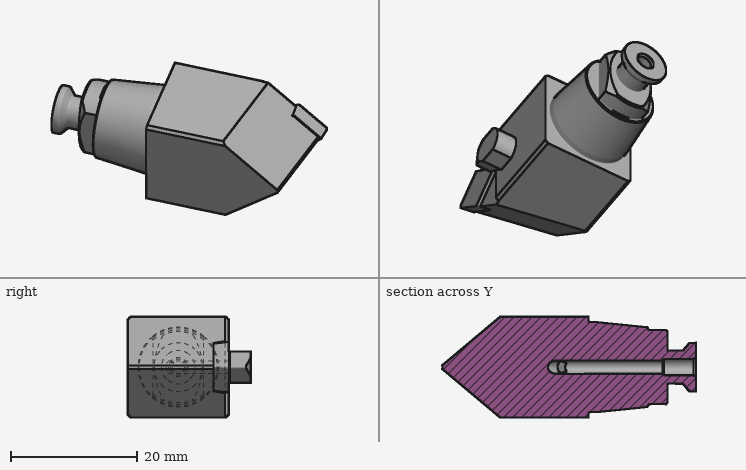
import cadquery as cq
import math


CONE_START = 1.05
CONE_END = 2.1
COLLAR_START = 4.5
TAPER_START = 7.55
TAPER_END = 15.95
BAR_START = 16.95
CLAMP_AXIS_X = 28.4
LEDGE_START = 31.55
INSERT_TIP = 42.0

KNOB_RADIUS = 3.85
NECK_RADIUS = 2.65
COLLAR_RADIUS = 5.9
TAPER_SMALL_RADIUS = 6.35
TAPER_LARGE_RADIUS = 7.2
KNOB_FILLET = 0.35
ROOT_FILLET = 0.15
COLLAR_ROOT_FILLET = 0.25
COLLAR_CHAMFER = 0.25
TAPER_CHAMFER = 0.15
FLAT_DISTANCE = 4.0
FLAT_CONE_RADIUS = 9.85
FLAT_CONE_OFFSET = 6.1

BORE_RADIUS = 1.0
THREAD_RADIUS = 1.25
THREAD_DEPTH = 5.05
BORE_MOUTH_RADIUS = 1.5
BORE_CHAMFER = 0.4
CHANNEL_SLANT_DEGREES = 38.0
CHANNEL_OVERRUN = 1.7

BAR_WIDTH = 16.0
HALF_WIDTH = BAR_WIDTH / 2
BAR_CHAMFER = 0.5
NOSE_TIP_BOTTOM = 38.65
NOSE_FLAT_HALF = 0.3
NOSE_HALF_ANGLE = math.radians(40)
CLEARANCE_DEGREES = 7.0
LEDGE_DEPTH = 0.6

INSCRIBED_CIRCLE = 6.35
INSERT_CORNER_RADIUS = 0.4
INSERT_THICKNESS = 2.4
POCKET_CLEARANCE = 0.2

CLAMP_HEIGHT = 3.5
CLAMP_BACK_RADIUS = 2.85
CLAMP_HALF_WIDTH = 2.48
CLAMP_NOSE_START = 29.9
CLAMP_TIP = 33.0
CLAMP_TIP_RADIUS = 0.35
CLAMP_RELIEF = 0.15
CLAMP_FOOT_START = 32.7
BEVEL_TOP_RADIUS = 3.1
BEVEL_DEGREES = 28.0

PICK_MARGIN = 0.005


def turned(points):
    """Solid of revolution about the X axis from (x, radius) points."""
    return cq.Workplane("XZ").polyline(points).close().revolve(360, (0, 0, 0), (1, 0, 0))


def ring_edge(x, radius):
    """Selector for the edges at the given x that lie wholly within the given radius."""
    reach = radius + PICK_MARGIN
    low = (x - PICK_MARGIN, -reach, -reach)
    high = (x + PICK_MARGIN, reach, reach)
    return cq.selectors.BoxSelector(low, high, boundingbox=True)


def knob_and_neck():
    body = turned([
        (0, 0),
        (0, KNOB_RADIUS),
        (CONE_START, KNOB_RADIUS),
        (CONE_END, NECK_RADIUS),
        (COLLAR_START, NECK_RADIUS),
        (COLLAR_START, 0),
    ])
    body = body.edges(ring_edge(CONE_START, KNOB_RADIUS)).fillet(KNOB_FILLET)
    return body.edges(ring_edge(CONE_END, NECK_RADIUS)).fillet(KNOB_FILLET)


def flat_bevel_cone(side):
    """45 degree cone, offset from the shank axis, that bevels the collar end beside one flat."""
    length = TAPER_START - COLLAR_START
    return (
        cq.Workplane("YZ", origin=(COLLAR_START, -side * FLAT_CONE_OFFSET, 0))
        .circle(FLAT_CONE_RADIUS)
        .extrude(length, taper=-45)
    )


def collar():
    length = TAPER_START - COLLAR_START
    body = cq.Workplane("YZ", origin=(COLLAR_START, 0, 0)).circle(COLLAR_RADIUS).extrude(length)
    body = body.faces("<X").chamfer(COLLAR_CHAMFER)
    flats = cq.Workplane("YZ", origin=(COLLAR_START, 0, 0)).rect(2 * FLAT_DISTANCE, BAR_WIDTH).extrude(length)
    body = body.intersect(flats)
    for side in (-1, 1):
        body = body.intersect(flat_bevel_cone(side))
    return body


def taper():
    end_radius = TAPER_SMALL_RADIUS - TAPER_CHAMFER
    return turned([
        (TAPER_START, 0),
        (TAPER_START, end_radius),
        (TAPER_START + TAPER_CHAMFER, TAPER_SMALL_RADIUS),
        (TAPER_END, TAPER_LARGE_RADIUS),
        (BAR_START, TAPER_LARGE_RADIUS),
        (BAR_START, 0),
    ])


def pointed_bar():
    """Square bar cut to a point whose flanks lean back toward -Y."""
    length = INSERT_TIP - BAR_START
    bar = cq.Workplane("YZ", origin=(BAR_START, 0, 0)).rect(BAR_WIDTH, BAR_WIDTH).extrude(length)
    bar = bar.edges("|X").chamfer(BAR_CHAMFER)

    lean = BAR_WIDTH * math.tan(math.radians(CLEARANCE_DEGREES)) / math.sin(NOSE_HALF_ANGLE)
    shoulder = NOSE_TIP_BOTTOM - (HALF_WIDTH - NOSE_FLAT_HALF) / math.tan(NOSE_HALF_ANGLE)
    back = BAR_START - lean

    def outline(shift):
        return [
            (back + shift, -HALF_WIDTH),
            (shoulder + shift, -HALF_WIDTH),
            (NOSE_TIP_BOTTOM + shift, -NOSE_FLAT_HALF),
            (NOSE_TIP_BOTTOM + shift, NOSE_FLAT_HALF),
            (shoulder + shift, HALF_WIDTH),
            (back + shift, HALF_WIDTH),
        ]

    wedge = (
        cq.Workplane("XZ", origin=(0, HALF_WIDTH, 0))
        .polyline(outline(lean)).close()
        .workplane(offset=BAR_WIDTH)
        .polyline(outline(0)).close()
        .loft(ruled=True)
    )
    return bar.intersect(wedge)


def rhombic_plate(inscribed_circle, corner_radius):
    """80 degree rhombic plate, flush with the +Y side of the bar, whose flanks narrow toward -Y."""
    half_long = inscribed_circle / 2 / math.sin(NOSE_HALF_ANGLE)
    half_short = inscribed_circle / 2 / math.cos(NOSE_HALF_ANGLE)
    rhombus = cq.Sketch().polygon(
        [(half_long, 0), (0, half_short), (-half_long, 0), (0, -half_short), (half_long, 0)]
    )
    if corner_radius > 0:
        rhombus = rhombus.vertices().fillet(corner_radius)
    tip_loss = INSERT_CORNER_RADIUS * (1 / math.sin(NOSE_HALF_ANGLE) - 1)
    insert_half_long = INSCRIBED_CIRCLE / 2 / math.sin(NOSE_HALF_ANGLE)
    center = INSERT_TIP + tip_loss - insert_half_long
    return (
        cq.Workplane("XZ", origin=(center, HALF_WIDTH, 0))
        .placeSketch(rhombus)
        .extrude(INSERT_THICKNESS, taper=CLEARANCE_DEGREES)
    )


def make_insert():
    return rhombic_plate(INSCRIBED_CIRCLE, INSERT_CORNER_RADIUS)


def insert_pocket():
    return rhombic_plate(INSCRIBED_CIRCLE + 2 * POCKET_CLEARANCE, 0)


def coolant_passage():
    """Bore along the shank axis and a slanted channel from its end to the middle of the clamp."""
    slant = math.radians(CHANNEL_SLANT_DEGREES)
    bend_x = CLAMP_AXIS_X - HALF_WIDTH * math.tan(slant)
    bore = turned([
        (0, 0),
        (0, BORE_MOUTH_RADIUS),
        (BORE_CHAMFER, THREAD_RADIUS),
        (THREAD_DEPTH, THREAD_RADIUS),
        (THREAD_DEPTH + THREAD_RADIUS - BORE_RADIUS, BORE_RADIUS),
        (bend_x, BORE_RADIUS),
        (bend_x, 0),
    ])
    direction = cq.Vector(math.sin(slant), math.cos(slant), 0)
    across = cq.Vector(math.cos(slant), -math.sin(slant), 0)
    start = cq.Vector(bend_x, 0, 0) - direction * CHANNEL_OVERRUN
    length = HALF_WIDTH / math.cos(slant) + 2 * CHANNEL_OVERRUN
    channel = cq.Workplane(cq.Plane(start, xDir=across, normal=direction)).circle(BORE_RADIUS).extrude(length)
    return bore.union(channel)


def make_head():
    shank = knob_and_neck().union(collar()).union(taper())
    head = shank.union(pointed_bar())

    head = head.edges(ring_edge(COLLAR_START, NECK_RADIUS)).fillet(ROOT_FILLET)
    head = head.edges(ring_edge(TAPER_START, COLLAR_RADIUS)).fillet(COLLAR_ROOT_FILLET)
    head = head.edges(ring_edge(BAR_START, TAPER_LARGE_RADIUS)).fillet(ROOT_FILLET)

    ledge = cq.Workplane("XY").box(BAR_WIDTH, LEDGE_DEPTH, BAR_WIDTH, centered=(False, False, True))
    head = head.cut(ledge.translate((LEDGE_START, HALF_WIDTH - LEDGE_DEPTH, 0))).cut(insert_pocket())

    return head.cut(coolant_passage())


def make_clamp():
    back_reach = math.sqrt(CLAMP_BACK_RADIUS**2 - CLAMP_HALF_WIDTH**2)
    back_x = CLAMP_AXIS_X - back_reach
    sharp_tip = CLAMP_TIP + CLAMP_TIP_RADIUS * (1 / math.sin(NOSE_HALF_ANGLE) - 1)
    clamp = (
        cq.Workplane("XZ", origin=(0, HALF_WIDTH, 0))
        .moveTo(back_x, -CLAMP_HALF_WIDTH)
        .lineTo(CLAMP_NOSE_START, -CLAMP_HALF_WIDTH)
        .lineTo(sharp_tip, 0)
        .lineTo(CLAMP_NOSE_START, CLAMP_HALF_WIDTH)
        .lineTo(back_x, CLAMP_HALF_WIDTH)
        .threePointArc((CLAMP_AXIS_X - CLAMP_BACK_RADIUS, 0), (back_x, -CLAMP_HALF_WIDTH))
        .close()
        .extrude(-CLAMP_HEIGHT)
    )
    clamp = clamp.edges("|Y and >X").fillet(CLAMP_TIP_RADIUS)

    bevel_run = CLAMP_HEIGHT / math.tan(math.radians(BEVEL_DEGREES))
    bevel = (
        cq.Workplane("XY", origin=(CLAMP_AXIS_X, HALF_WIDTH, 0))
        .polyline([
            (0, 0),
            (BEVEL_TOP_RADIUS + bevel_run, 0),
            (BEVEL_TOP_RADIUS, CLAMP_HEIGHT),
            (0, CLAMP_HEIGHT),
        ])
        .close()
        .revolve(360, (0, 0, 0), (0, 1, 0))
    )
    clamp = clamp.intersect(bevel)

    relief = cq.Workplane("XY").box(
        CLAMP_FOOT_START - CLAMP_NOSE_START, CLAMP_RELIEF, BAR_WIDTH, centered=(False, False, True)
    )
    return clamp.cut(relief.translate((CLAMP_NOSE_START, HALF_WIDTH, 0)))


insert = make_insert()
head = make_head()
clamp = make_clamp()
result = cq.Compound.makeCompound([head.val(), insert.val(), clamp.val()])